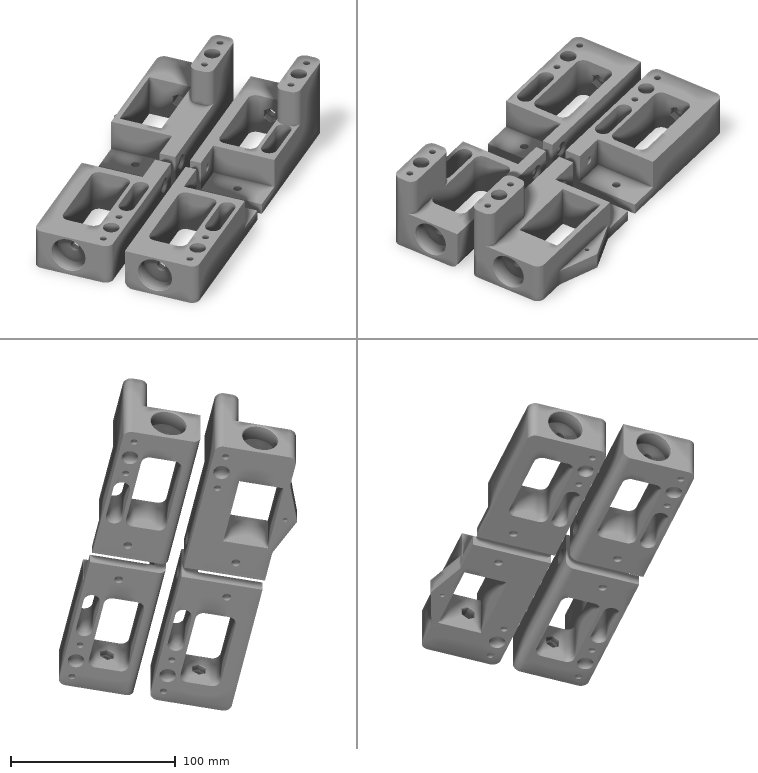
import cadquery as cq
import math

OVERALL_LENGTH = 201.5
BLOCK_LENGTH = 97.1
LEFT_WIDTH = 50.4
RIGHT_WIDTH = 47.2
SIDE_GAP = 9.7
BLOCK_HEIGHT = 27.0
CORNER_RADIUS = 5.0

PAD_LENGTH = 20.0
PAD_WIDTH = 40.0
PAD_THICKNESS = 7.0
SCREW_DIAMETER = 5.2
SCREW_HEAD_DIAMETER = 9.0
SCREW_HEAD_DEPTH = 2.5

POST_WIDTH = 15.0
POST_LENGTH = 39.9
POST_HEIGHT = 25.0
ROD_DIAMETER = 10.0
PILOT_DIAMETER = 4.2
PILOT_SPACING = 25.0

PAD_TO_OPENING = 5.0
POCKET_WIDTH = 25.0
POCKET_LENGTH = 54.8
SLOT_LENGTH = 32.5

BORE_DIAMETER = 22.0
BORE_DEPTH = 10.0
BORE_HEIGHT = 14.3
BOLT_DIAMETER = 5.2
MOUTH_CHAMFER = 0.5

NUT_SIZE = 8.0
NUT_SEAT = 13.5

FRAMED_POCKET_LEFT = 3.5
FRAMED_POCKET_WIDTH = 27.6
FRAMED_POCKET_LENGTH = 47.8
FRAME_MARGIN = 2.0
FRAME_THICKNESS = 3.0

EAR_HEIGHT = 10.5
EAR_REACH = 9.9
EAR_LENGTH = 53.4
EAR_TIP_RADIUS = 1.0
EAR_ROOT_RADIUS = 5.0
EAR_HOLE_DIAMETER = 2.8
EAR_HOLE_OFFSET = 2.5

INNER_END = OVERALL_LENGTH / 2 - BLOCK_LENGTH
OUTER_END = OVERALL_LENGTH / 2
RIGHT_START = LEFT_WIDTH + SIDE_GAP
RIGHT_FACE = RIGHT_START + RIGHT_WIDTH
OPENING_Y = INNER_END + PAD_LENGTH + PAD_TO_OPENING
ROD_Y = OUTER_END - POST_LENGTH / 2
EAR_Y = OPENING_Y + FRAMED_POCKET_LENGTH / 2


def box(x, y, z, width, length, height):
    """Box with its lowest corner at (x, y, z)."""
    return cq.Workplane("XY").box(width, length, height, centered=False).translate((x, y, z))


def hole_z(x, y, diameter, top):
    """Upright cylinder from the underside to the given height."""
    return cq.Workplane("XY").center(x, y).circle(diameter / 2).extrude(top)


def cylinder_x(x, y, z, diameter, length):
    """Cylinder that runs from x along +X, or along -X for a negative length."""
    return cq.Workplane("YZ", origin=(x, y, z)).circle(diameter / 2).extrude(length)


def cylinder_y(x, y, z, diameter, length):
    """Cylinder that runs from y toward -Y."""
    return cq.Workplane("XZ", origin=(x, y, z)).circle(diameter / 2).extrude(length)


def mouth_cone(x, y, z, diameter, inward):
    """Cone that chamfers the mouth of a round hole, pointing along the inward direction."""
    radius = diameter / 2
    point = cq.Vector(x, y, z)
    cone = cq.Solid.makeCone(radius + MOUTH_CHAMFER, radius, MOUTH_CHAMFER, point, cq.Vector(inward))
    return cq.Workplane(cone)


def cut_stepped_end(block, x, width, pad_x, wall_face_x, inward):
    """Cut the step that leaves the pad, the pad hole and the counterbored hole in the wall.

    inward is the sign of the X direction from the outer wall face into the wall.
    """
    y = INNER_END + PAD_LENGTH / 2
    z = (PAD_THICKNESS + BLOCK_HEIGHT) / 2
    block = block.cut(box(pad_x, INNER_END, PAD_THICKNESS, PAD_WIDTH, PAD_LENGTH, BLOCK_HEIGHT))
    block = block.cut(hole_z(pad_x + PAD_WIDTH / 2, y, SCREW_DIAMETER, BLOCK_HEIGHT))
    block = block.cut(cylinder_x(x, y, z, SCREW_DIAMETER, width))
    block = block.cut(cylinder_x(wall_face_x, y, z, SCREW_HEAD_DIAMETER, inward * SCREW_HEAD_DEPTH))
    return block.cut(mouth_cone(wall_face_x, y, z, SCREW_HEAD_DIAMETER, (inward, 0, 0)))


def hexagon(x, y, size):
    """Upright hexagon facing -Y, with two sides vertical; size is across its flats."""
    corners = size / math.cos(math.pi / 6)
    plane = cq.Plane(origin=(x, y, BORE_HEIGHT), xDir=(0, 0, 1), normal=(0, 1, 0))
    return cq.Workplane(plane).polygon(6, corners)


def cut_end_bore(block, x, pocket_length):
    """Cut the bore in the outer end, the bolt hole behind it and the nut recess in the pocket wall."""
    pocket_wall_y = OPENING_Y + pocket_length
    bore_floor_y = OUTER_END - BORE_DEPTH
    nut_seat_y = OUTER_END - NUT_SEAT
    block = block.cut(cylinder_y(x, OUTER_END, BORE_HEIGHT, BORE_DIAMETER, BORE_DEPTH))
    block = block.cut(mouth_cone(x, OUTER_END, BORE_HEIGHT, BORE_DIAMETER, (0, -1, 0)))
    block = block.cut(cylinder_y(x, bore_floor_y, BORE_HEIGHT, BOLT_DIAMETER, NUT_SEAT - BORE_DEPTH))
    block = block.cut(mouth_cone(x, bore_floor_y, BORE_HEIGHT, BOLT_DIAMETER, (0, -1, 0)))
    block = block.cut(hexagon(x, pocket_wall_y, NUT_SIZE).extrude(nut_seat_y - pocket_wall_y))
    nut_mouth = hexagon(x, pocket_wall_y, NUT_SIZE + 2 * MOUTH_CHAMFER)
    return block.cut(nut_mouth.extrude(MOUTH_CHAMFER, taper=45))


def cut_post_holes(block, right_face):
    """Cut the rod hole and the two small holes beside it."""
    x = right_face - POST_WIDTH / 2
    top = BLOCK_HEIGHT + POST_HEIGHT
    block = block.cut(hole_z(x, ROD_Y, ROD_DIAMETER, top))
    for side in (-1, 1):
        block = block.cut(hole_z(x, ROD_Y + side * PILOT_SPACING / 2, PILOT_DIAMETER, top))
    return block


def cut_pocket_and_slot(block, right_face):
    """Cut the rounded pocket and the slot beside it."""
    pocket_x = right_face - POST_WIDTH - POCKET_WIDTH
    pocket = box(pocket_x, OPENING_Y, 0, POCKET_WIDTH, POCKET_LENGTH, BLOCK_HEIGHT)
    slot = (
        cq.Workplane("XY")
        .center(right_face - POST_WIDTH / 2, OPENING_Y + SLOT_LENGTH / 2)
        .slot2D(SLOT_LENGTH, ROD_DIAMETER, 90)
        .extrude(BLOCK_HEIGHT)
    )
    return block.cut(pocket.edges("|Z").fillet(CORNER_RADIUS)).cut(slot)


def add_post(block, right_face):
    """Add the post on the outer right corner."""
    post = box(
        right_face - POST_WIDTH, OUTER_END - POST_LENGTH, BLOCK_HEIGHT,
        POST_WIDTH, POST_LENGTH, POST_HEIGHT,
    )
    return block.union(post.edges("|Z").fillet(CORNER_RADIUS))


def bore_x(right_face):
    """The end bore is in line with the middle of the rounded pocket."""
    return right_face - POST_WIDTH - POCKET_WIDTH / 2


def left_blank():
    """Left block with rounded outer corners and the stepped end, in the rear position."""
    blank = box(0, INNER_END, 0, LEFT_WIDTH, BLOCK_LENGTH, BLOCK_HEIGHT)
    blank = blank.edges("|Z and >Y").fillet(CORNER_RADIUS)
    return cut_stepped_end(blank, 0, LEFT_WIDTH, 0, LEFT_WIDTH, -1)


def right_blank():
    """Right block with one rounded outer corner and a rounded lower left edge."""
    blank = box(RIGHT_START, INNER_END, 0, RIGHT_WIDTH, BLOCK_LENGTH, BLOCK_HEIGHT)
    blank = blank.edges("|Z and >Y and >X").fillet(CORNER_RADIUS)
    blank = blank.edges("|Y and <X and <Z").fillet(CORNER_RADIUS)
    pad_x = RIGHT_FACE - PAD_WIDTH
    return cut_stepped_end(blank, RIGHT_START, RIGHT_WIDTH, pad_x, RIGHT_START, 1)


def slotted_block(blank, right_face, has_post):
    """Block with the rounded pocket and the slot, in the rear position."""
    block = blank
    if has_post:
        block = add_post(block, right_face)
    block = cut_pocket_and_slot(block, right_face)
    block = cut_post_holes(block, right_face)
    return cut_end_bore(block, bore_x(right_face), POCKET_LENGTH)


def add_ear(block):
    """Add the pointed ear with its rounded tip, blended roots and small hole."""
    half_length = EAR_LENGTH / 2
    ear = (
        cq.Workplane("XY")
        .moveTo(0, EAR_Y - half_length)
        .lineTo(-EAR_REACH, EAR_Y)
        .lineTo(0, EAR_Y + half_length)
        .close()
        .extrude(EAR_HEIGHT)
        .edges("|Z and <X")
        .fillet(EAR_TIP_RADIUS)
    )
    block = block.union(ear)
    for root_y in (EAR_Y - half_length, EAR_Y + half_length):
        root = cq.selectors.NearestToPointSelector((0, root_y, EAR_HEIGHT / 2))
        block = block.edges("|Z").edges(root).fillet(EAR_ROOT_RADIUS)
    return block.cut(hole_z(-EAR_HOLE_OFFSET, EAR_Y, EAR_HOLE_DIAMETER, EAR_HEIGHT))


def framed_pocket():
    """Sharp-cornered pocket that passes through the rear left block and its frame."""
    return box(
        FRAMED_POCKET_LEFT, OPENING_Y, 0, FRAMED_POCKET_WIDTH, FRAMED_POCKET_LENGTH, BLOCK_HEIGHT
    )


def frame_blank():
    """Outer shape of the frame, a margin wider than the pocket on every side."""
    return box(
        FRAMED_POCKET_LEFT - FRAME_MARGIN, OPENING_Y - FRAME_MARGIN, 0,
        FRAMED_POCKET_WIDTH + 2 * FRAME_MARGIN, FRAMED_POCKET_LENGTH + 2 * FRAME_MARGIN,
        FRAME_THICKNESS,
    )


def make_rear_left_block():
    block = add_ear(left_blank())
    block = add_post(block, LEFT_WIDTH)
    block = cut_post_holes(block, LEFT_WIDTH)
    block = cut_end_bore(block, bore_x(LEFT_WIDTH), FRAMED_POCKET_LENGTH)
    return block.cut(framed_pocket()).cut(frame_blank())


def make_pocket_frame():
    """Flat frame whose opening is flush with the pocket walls."""
    return frame_blank().cut(framed_pocket())


rear_left_block = make_rear_left_block()
rear_right_block = slotted_block(right_blank(), RIGHT_FACE, True)
front_left_block = slotted_block(left_blank(), LEFT_WIDTH, False).mirror("XZ")
front_right_block = slotted_block(right_blank(), RIGHT_FACE, False).mirror("XZ")
pocket_frame = make_pocket_frame()

result = cq.Compound.makeCompound([
    rear_left_block.val(),
    rear_right_block.val(),
    front_left_block.val(),
    front_right_block.val(),
    pocket_frame.val(),
])